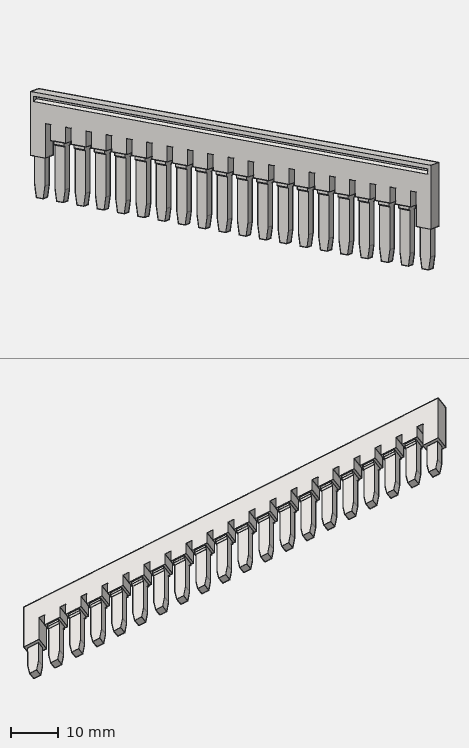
import cadquery as cq

length = 102.6
thickness = 3.0
total_height = 23.0
pin_count = 20

block_width = 3.8
slot_depth = 6.4
tooth_depth = 9.8
end_block_depth = 13.9
pitch = (length - block_width) / (pin_count - 1)

pin_width = 2.7
pin_thickness = 1.6
tip_width = 1.7
tip_length = 2.9

collar_thickness = 2.5
collar_depth = 10.6
bevel_height = 0.3

groove_top_depth = 0.9
groove_height = 1.1
groove_upper_slope = 0.3
groove_floor_height = 0.4
groove_end_margin = 0.8
groove_cut = 1.0


def block(x_center, width, depth):
    """Full-thickness block hanging from the top face."""
    return cq.Workplane("XY").center(x_center, 0).rect(width, thickness).extrude(-depth)


def pin(x_center):
    """Flat pin whose sides taper towards the tip; its root is buried in the body."""
    half_pin = pin_width / 2
    half_tip = tip_width / 2
    taper_z = tip_length - total_height
    outline = [
        (x_center - half_pin, -slot_depth),
        (x_center + half_pin, -slot_depth),
        (x_center + half_pin, taper_z),
        (x_center + half_tip, -total_height),
        (x_center - half_tip, -total_height),
        (x_center - half_pin, taper_z),
    ]
    return cq.Workplane("XZ").polyline(outline).close().extrude(pin_thickness / 2, both=True)


def collar(x_center):
    """Pin-wide collar whose front and back faces slope in to the pin at the bottom."""
    half_collar = collar_thickness / 2
    half_pin = pin_thickness / 2
    bevel_end = collar_depth + bevel_height
    profile = [
        (-half_collar, -slot_depth),
        (half_collar, -slot_depth),
        (half_collar, -collar_depth),
        (half_pin, -bevel_end),
        (-half_pin, -bevel_end),
        (-half_collar, -collar_depth),
    ]
    solid = cq.Workplane("YZ").polyline(profile).close().extrude(pin_width / 2, both=True)
    return solid.translate((x_center, 0, 0))


def groove():
    """Straight groove with sloping walls and a narrow flat floor."""
    front = -thickness / 2
    floor = front + groove_cut
    top = -groove_top_depth
    floor_top = top - groove_upper_slope
    profile = [
        (front, top),
        (floor, floor_top),
        (floor, floor_top - groove_floor_height),
        (front, top - groove_height),
    ]
    half_length = length / 2 - groove_end_margin
    return cq.Workplane("YZ").polyline(profile).close().extrude(half_length, both=True)


result = block(0, length, slot_depth)
for index in range(pin_count):
    x_center = (index - (pin_count - 1) / 2) * pitch
    result = result.union(pin(x_center))
    if index in (0, pin_count - 1):
        result = result.union(block(x_center, block_width, end_block_depth))
    else:
        result = result.union(block(x_center, block_width, tooth_depth))
        result = result.union(collar(x_center))

result = result.cut(groove())